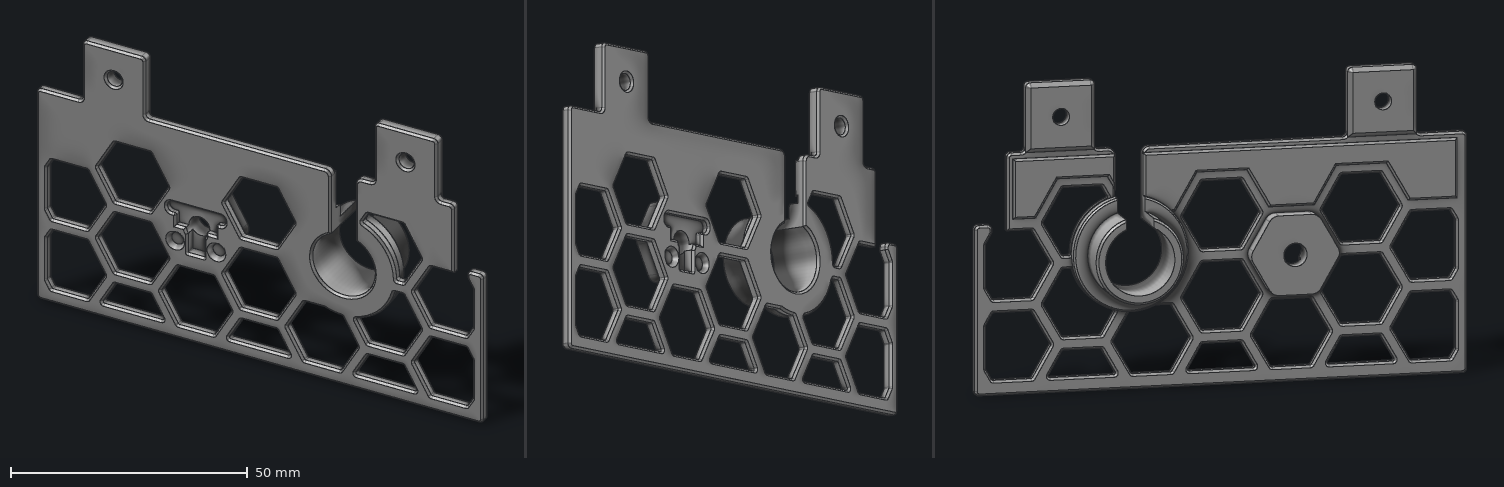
import cadquery as cq
import math


plate_width = 107.0
shoulder_height = 52.0
plate_thickness = 2.4
plate_edge_chamfer = 0.5
outer_corner_radius = 1.0
notch_left = 100.0
notch_right = 103.2
notch_floor = 34.0
post_height = 36.7

tab_size = 15.0
tab_lefts = (11.0, 81.0)
tab_back_height = 1.0
tab_back_chamfer = 0.95
tab_root_radius = 1.0
tab_hole_diameter = 3.6
tab_hole_chamfer = 0.5

cell_pitch = 17.5
cell_flats = 14.7
column_pitch = cell_pitch * math.sqrt(3) / 2
origin_cell_x = 38.2
origin_cell_z = 27.9
frame_side = 2.4
frame_bottom = 3.2
opening_corner_radius = 0.4
openings = {
    -2: (-1, 0),
    -1: (-1.5, -0.5, 0.5),
    0: (-1,),
    1: (-1.5, -0.5, 0.5),
    2: (-1,),
    3: (-1.5, -0.5, 0.5),
    4: (-1, 0),
}

tube_x = 73.5
tube_z = 29.5
bore_diameter = 15.0
tube_diameter = 19.0
tube_back = 12.4
tube_chamfer = 0.5
flange_diameter = 25.0
flange_seat_diameter = 25.2
flange_back = 4.4
flange_chamfer = 0.4
slot_width = 6.0
slot_mouth_radius = 1.5

pad_left = 2.2
pad_right = 98.8
pad_bottom = 37.8
pad_top = 50.8
pad_height = 0.6
pad_chamfer = 0.5
pad_clear_flats = 18.8

block_flats = 17.15
block_back = 6.0
block_corner_radius = 2.4
recess_chamfer = 0.5
sensor_hole_diameter = 5.0
bar_width = 15.0
bar_top = 33.8
bar_bottom = 30.1
bar_end_radius = 1.7
neck_width = 10.6
neck_bottom = 27.3
tee_depth = 1.6
groove_width = 5.0
groove_bottom = 21.2
groove_depth = 2.4
groove_corner_radius = 0.6
pocket_spacing = 9.9
pocket_z = 23.95
pocket_mouth_diameter = 4.5
pocket_floor_diameter = 2.9
pocket_depth = 1.2

overlap = 1.0
tolerance = 0.01


def box(left, right, bottom, top, front, back):
    """Block given by its limits along X, Z and Y."""
    size = (right - left, back - front, top - bottom)
    return cq.Workplane("XY").box(*size, centered=False).translate((left, front, bottom))


def cylinder(x, z, diameter, front, back):
    """Cylinder along Y between two depths."""
    plane = cq.Workplane("XZ", origin=(x, front, z))
    return plane.circle(diameter / 2).extrude(front - back)


def cone(x, z, front_diameter, back_diameter, front, back):
    """Cone along Y, opening at its front depth."""
    solid = cq.Solid.makeCone(
        front_diameter / 2, back_diameter / 2, back - front, cq.Vector(x, front, z), cq.Vector(0, 1, 0)
    )
    return cq.Workplane(obj=solid)


def hexagon(x, z, flats, front, back):
    """Hexagonal prism along Y with corners pointing left and right."""
    plane = cq.Workplane("XZ", origin=(x, front, z))
    return plane.polygon(6, flats * 2 / math.sqrt(3)).extrude(front - back)


def cell_centers():
    """Center of every opening of the honeycomb."""
    return [
        (origin_cell_x + column * column_pitch, origin_cell_z + row * cell_pitch)
        for column, rows in openings.items()
        for row in rows
    ]


def make_slot(top):
    """Entry slot of the tube, from the tube axis up to a given height and through the full depth."""
    half_slot = slot_width / 2
    return box(tube_x - half_slot, tube_x + half_slot, tube_z, top, -overlap, tube_back + overlap)


def make_slot_flare():
    """Wedge that carries the front edge chamfer down the slot sides to the bore."""
    half_slot = slot_width / 2
    half_mouth = half_slot + plate_edge_chamfer
    profile = [
        (tube_x - half_mouth, 0),
        (tube_x + half_mouth, 0),
        (tube_x + half_slot, plate_edge_chamfer),
        (tube_x - half_slot, plate_edge_chamfer),
    ]
    wedge = cq.Workplane("XY", origin=(0, 0, tube_z)).polyline(profile).close()
    return wedge.extrude(shoulder_height - slot_mouth_radius - tube_z)


def make_blank():
    """Plate with its notched right side, rounded outside corners, slot mouth and tabs."""
    blank = box(0, notch_left, 0, shoulder_height, 0, plate_thickness)
    blank = blank.union(box(notch_left - overlap, plate_width, 0, notch_floor, 0, plate_thickness))
    blank = blank.union(box(notch_right, plate_width, notch_floor - overlap, post_height, 0, plate_thickness))
    blank = blank.cut(make_slot(shoulder_height + overlap))
    top_edges = blank.faces(">Z").edges("|Y")
    slot_edges = top_edges.filter(lambda edge: abs(edge.Center().x - tube_x) < slot_width)
    blank = slot_edges.fillet(slot_mouth_radius)
    tab_top = shoulder_height + tab_size
    for left in tab_lefts:
        bottom = shoulder_height - overlap
        blank = blank.union(box(left, left + tab_size, bottom, tab_top, 0, plate_thickness))

    def is_tab_root(edge):
        return abs(edge.Center().z - shoulder_height) < tolerance and any(
            abs(edge.Center().x - side) < tolerance for left in tab_lefts for side in (left, left + tab_size)
        )

    blank = blank.edges("|Y").filter(is_tab_root).fillet(tab_root_radius)

    def is_outer_corner(edge):
        point = edge.Center()
        at_side = min(abs(point.x - side) for side in (0, notch_left, notch_right, plate_width)) < tolerance
        at_tab_top = abs(point.z - tab_top) < tolerance
        at_notch_floor = abs(point.z - notch_floor) < tolerance
        return (at_side or at_tab_top) and not at_notch_floor

    return blank.edges("|Y").filter(is_outer_corner).fillet(outer_corner_radius)


def cut_honeycomb(plate):
    """Cut the openings, each trimmed to leave the border frame and the round seat of the flange."""
    front = -overlap
    back = plate_thickness + overlap
    window = box(frame_side, plate_width - frame_side, frame_bottom, shoulder_height, front, back)
    seat = cylinder(tube_x, tube_z, flange_seat_diameter, front, back)
    for x, z in cell_centers():
        opening = hexagon(x, z, cell_flats, front, back).intersect(window).cut(seat)
        opening = opening.edges("|Y").fillet(opening_corner_radius)
        plate = plate.cut(opening)
    return plate


def make_tab_back(left):
    """Thickened back of a tab, sloped on all four sides."""
    foot = plate_thickness - plate_edge_chamfer
    right = left + tab_size
    top = shoulder_height + tab_size
    back = box(left, right, shoulder_height, top, foot, plate_thickness + tab_back_height)
    back = back.faces(">Z").edges("|Y").fillet(outer_corner_radius)
    return back.faces(">Y").edges().chamfer(tab_back_chamfer)


def make_pad():
    """Raised area behind the solid band, kept clear of the openings."""
    foot = plate_thickness - plate_edge_chamfer
    pad = box(pad_left, pad_right, pad_bottom, pad_top, foot, plate_thickness + pad_height)
    for x, z in cell_centers():
        pad = pad.cut(hexagon(x, z, pad_clear_flats, 0, tube_back))
    pad = pad.cut(make_slot(shoulder_height))
    return pad.faces(">Y").edges().chamfer(pad_chamfer)


def add_tube(plate):
    """Flanged tube on the back, bored through and open at the top."""
    foot = plate_thickness / 2
    flange = cylinder(tube_x, tube_z, flange_diameter, foot, flange_back)
    flange = flange.faces(">Y").edges().chamfer(flange_chamfer)
    tube = cylinder(tube_x, tube_z, tube_diameter, foot, tube_back)
    tube = tube.faces(">Y").edges().chamfer(tube_chamfer)
    plate = plate.union(flange).union(tube)
    plate = plate.cut(cylinder(tube_x, tube_z, bore_diameter, -overlap, tube_back + overlap))
    plate = plate.cut(make_slot(shoulder_height - slot_mouth_radius))
    bore_mouth_diameter = bore_diameter + 2 * plate_edge_chamfer
    plate = plate.cut(cone(tube_x, tube_z, bore_mouth_diameter, bore_diameter, 0, plate_edge_chamfer))
    return plate.cut(make_slot_flare())


def make_block():
    """Rounded hexagonal block filling the origin cell of the honeycomb."""
    block = hexagon(origin_cell_x, origin_cell_z, block_flats, plate_edge_chamfer, block_back)
    return block.edges("|Y").fillet(block_corner_radius)


def chamfered_recess(outline, depth):
    """Recess of the given mouth outline, narrowed by a 45 degree rim and sunk to a flat floor."""
    rim = cq.Workplane("XZ").add(outline).toPending().extrude(-recess_chamfer, taper=45)
    inner_face = rim.faces(">Y").val()
    well = cq.Solid.extrudeLinear(inner_face, cq.Vector(0, depth - recess_chamfer, 0))
    return rim.union(cq.Workplane(obj=well))


def make_tee():
    """T-shaped recess: a round-ended bar over a narrower neck."""
    half_bar = bar_width / 2
    half_neck = neck_width / 2
    bar = box(origin_cell_x - half_bar, origin_cell_x + half_bar, bar_bottom, bar_top, 0, tee_depth)
    bar = bar.edges("|Y").fillet(bar_end_radius)
    neck = box(
        origin_cell_x - half_neck, origin_cell_x + half_neck, neck_bottom, bar_top - bar_end_radius,
        0, tee_depth
    )
    outline = bar.union(neck).clean().faces("<Y").val().outerWire()
    return chamfered_recess(outline, tee_depth)


def make_groove():
    """Rectangular recess running down from the sensor hole."""
    half_groove = groove_width / 2
    blank = box(
        origin_cell_x - half_groove, origin_cell_x + half_groove, groove_bottom, origin_cell_z,
        0, groove_depth
    )
    blank = blank.faces("<Z").edges("|Y").fillet(groove_corner_radius)
    return chamfered_recess(blank.faces("<Y").val().outerWire(), groove_depth)


def cut_sensor_recesses(plate):
    """Through hole, T recess, groove and two conical pockets in the block's front."""
    plate = plate.cut(make_tee()).cut(make_groove())
    plate = plate.cut(
        cylinder(origin_cell_x, origin_cell_z, sensor_hole_diameter, -overlap, block_back + overlap)
    )
    mouth_diameter = sensor_hole_diameter + 2 * recess_chamfer
    plate = plate.cut(
        cone(origin_cell_x, origin_cell_z, mouth_diameter, sensor_hole_diameter, 0, recess_chamfer)
    )
    for side in (-1, 1):
        x = origin_cell_x + side * pocket_spacing / 2
        plate = plate.cut(cone(x, pocket_z, pocket_mouth_diameter, pocket_floor_diameter, 0, pocket_depth))
    return plate


def cut_tab_holes(plate):
    """Screw hole in the middle of each tab, chamfered at the front."""
    z = shoulder_height + tab_size / 2
    for left in tab_lefts:
        x = left + tab_size / 2
        mouth_diameter = tab_hole_diameter + 2 * tab_hole_chamfer
        plate = plate.cut(cylinder(x, z, tab_hole_diameter, -overlap, tube_back))
        plate = plate.cut(cone(x, z, mouth_diameter, tab_hole_diameter, 0, tab_hole_chamfer))
    return plate


plate = cut_honeycomb(make_blank())
plate = plate.faces("<Y or >Y").edges().chamfer(plate_edge_chamfer)
for tab_left in tab_lefts:
    plate = plate.union(make_tab_back(tab_left))
plate = plate.union(make_pad()).union(make_block())
plate = add_tube(plate)
plate = cut_sensor_recesses(plate)
result = cut_tab_holes(plate)